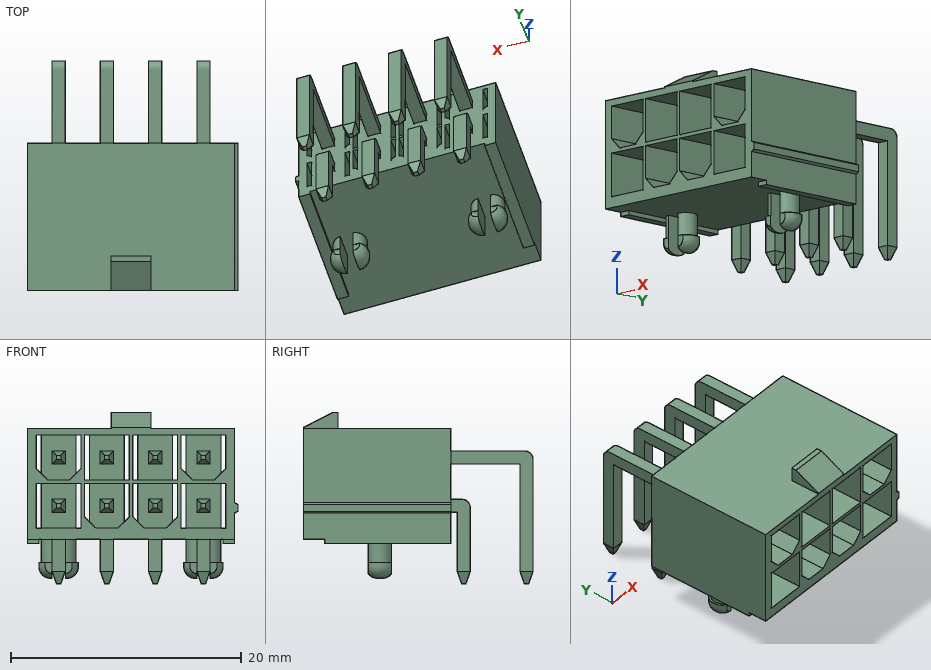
import cadquery as cq
import math


columns = 4
pitch = 4.2
lower_row_z = 3.3
row_heights = [lower_row_z, lower_row_z + pitch]
column_places = [(column - (columns - 1) / 2) * pitch for column in range(columns)]

housing_width = 18.0
housing_depth = 12.82
housing_top = 10.02
floor_z = 0.38
rail_width = 1.02
rail_setback = 1.85

cavity_size = 3.87
cavity_chamfer = 0.98
cavity_depth = 9.98
plug_width = 3.05

latch_width = 3.47
latch_length = 3.02
latch_flat = 0.48
latch_top = 11.4
latch_lip = 0.08

rib_height = 0.3
rib_base = 0.92
rib_tip = 0.6
rib_z = 3.12

peg_x = column_places[-1]
peg_y = 6.65
peg_radius = 1.02
peg_half_offset = 0.5
peg_slot = 1.15
head_radius = 1.22
head_top = -1.62
head_bottom = -3.02
dome_height = 0.94
dome_flat_radius = 0.2
dome_run = head_radius - dome_flat_radius
dome_arc_radius = (dome_run**2 + dome_height**2) / (2 * dome_height)

pin_size = 1.15
pin_tip_size = 0.38
pin_taper = 1.1
pin_bend_radius = 0.75
pin_front_y = 3.0
pin_bottom = -3.5
pin_back = {row_heights[0]: 14.52, row_heights[1]: 19.97}


def box(x_range, y_range, z_range):
    """Box between the given limits."""
    size = [high - low for low, high in (x_range, y_range, z_range)]
    corner = (x_range[0], y_range[0], z_range[0])
    return cq.Workplane("XY").box(*size, centered=False).translate(corner)


def has_chamfered_floor(column, row):
    """Keyed cavities: the outer ones of the upper row and the inner ones of the lower row."""
    is_outer = column in (0, columns - 1)
    is_upper = row == 1
    return is_outer == is_upper


def cavity_prism(x, z, chamfered):
    """Full-depth prism with the outline of one cavity."""
    half = cavity_size / 2
    prism = box((x - half, x + half), (0, housing_depth), (z - half, z + half))
    if chamfered:
        prism = prism.faces("<Z").edges("|Y").chamfer(cavity_chamfer)
    return prism


def cavity(x, z, chamfered):
    """Open cavity with a plug at its back; a gap on each side of the plug runs through."""
    half = plug_width / 2
    plug = box(
        (x - half, x + half),
        (cavity_depth, housing_depth),
        (z - cavity_size / 2, z + cavity_size / 2),
    )
    return cavity_prism(x, z, chamfered).cut(plug)


def pin_hole(x, z):
    """Square hole that carries a pin through the plug."""
    half = pin_size / 2
    return box((x - half, x + half), (cavity_depth, housing_depth), (z - half, z + half))


def shell():
    """Outer block standing on two side rails that start behind the mating face."""
    half = housing_width / 2
    body = box((-half, half), (0, housing_depth), (floor_z, housing_top))
    for rail_x in (-half, half - rail_width):
        rail = box((rail_x, rail_x + rail_width), (rail_setback, housing_depth), (0, floor_z))
        body = body.union(rail)
    return body


def latch():
    """Ramp that rises from the mating face to a short flat."""
    return (
        cq.Workplane("YZ")
        .moveTo(0, housing_top)
        .lineTo(0, housing_top + latch_lip)
        .lineTo(latch_length - latch_flat, latch_top)
        .lineTo(latch_length, latch_top)
        .lineTo(latch_length, housing_top)
        .close()
        .extrude(latch_width / 2, both=True)
    )


def side_rib():
    """Trapezoidal rib along the full depth of the +X side."""
    inner_x = housing_width / 2
    outer_x = inner_x + rib_height
    return (
        cq.Workplane("XZ")
        .moveTo(inner_x, rib_z - rib_base / 2)
        .lineTo(outer_x, rib_z - rib_tip / 2)
        .lineTo(outer_x, rib_z + rib_tip / 2)
        .lineTo(inner_x, rib_z + rib_base / 2)
        .close()
        .extrude(-housing_depth)
    )


def peg_stem():
    """Round stem of a peg half, reaching down to the start of the dome."""
    dome_start = head_bottom + dome_height
    stem = cq.Workplane("XY").circle(peg_radius).extrude(floor_z - dome_start)
    return stem.translate((peg_half_offset, 0, dome_start))


def peg_head():
    """Wider head of a peg half: a cylinder that ends in a dome with a small flat."""
    dome_start = head_bottom + dome_height
    middle_run = dome_run / 2
    middle_x = dome_flat_radius + middle_run
    middle_z = head_bottom + dome_arc_radius - math.sqrt(dome_arc_radius**2 - middle_run**2)
    head = (
        cq.Workplane("XZ")
        .moveTo(0, head_top)
        .lineTo(head_radius, head_top)
        .lineTo(head_radius, dome_start)
        .threePointArc((middle_x, middle_z), (dome_flat_radius, head_bottom))
        .lineTo(0, head_bottom)
        .close()
        .revolve(360, (0, 0, 0), (0, 1, 0))
    )
    return head.translate((peg_half_offset, 0, 0))


def peg_half():
    """+X half of a snap peg about the Z axis, flush with the stem on its -Y and +Y sides."""
    kept = box(
        (peg_slot / 2, peg_half_offset + head_radius),
        (-peg_radius, peg_radius),
        (head_bottom, floor_z),
    )
    return peg_stem().union(peg_head()).intersect(kept)


def make_housing():
    body = shell().union(latch()).union(side_rib())
    half = peg_half()
    for x in (-peg_x, peg_x):
        for turn in (0, 180):
            body = body.union(half.rotate((0, 0, 0), (0, 0, 1), turn).translate((x, peg_y, 0)))
    for row, z in enumerate(row_heights):
        for column, x in enumerate(column_places):
            body = body.cut(cavity(x, z, has_chamfered_floor(column, row)))
            body = body.cut(pin_hole(x, z))
    return body


def pin_tip(plane):
    """Square taper from the pin section down to the small flat end, along the plane normal."""
    return (
        cq.Workplane(plane)
        .rect(pin_size, pin_size)
        .workplane(offset=pin_taper)
        .rect(pin_tip_size, pin_tip_size)
        .loft(ruled=True)
    )


def make_pin(x, z):
    """Pin that runs back through the housing and bends down; both ends are tapered."""
    half = pin_size / 2
    back_y = pin_back[z]
    front_y = pin_front_y + pin_taper
    leg_bottom = pin_bottom + pin_taper
    across = (x - half, x + half)
    arm = box(across, (front_y, back_y), (z - half, z + half))
    leg = box(across, (back_y - pin_size, back_y), (leg_bottom, z + half))
    bent = arm.union(leg).edges("|X and >Y and >Z").fillet(pin_bend_radius)
    mating_tip = pin_tip("XZ").translate((x, front_y, z))
    solder_tip = pin_tip(cq.Plane((0, 0, 0), (1, 0, 0), (0, 0, -1)))
    solder_tip = solder_tip.translate((x, back_y - half, leg_bottom))
    return bent.union(mating_tip).union(solder_tip)


housing = make_housing()
pins = [make_pin(x, z) for z in row_heights for x in column_places]

result = cq.Compound.makeCompound([housing.val(), *[pin.val() for pin in pins]])